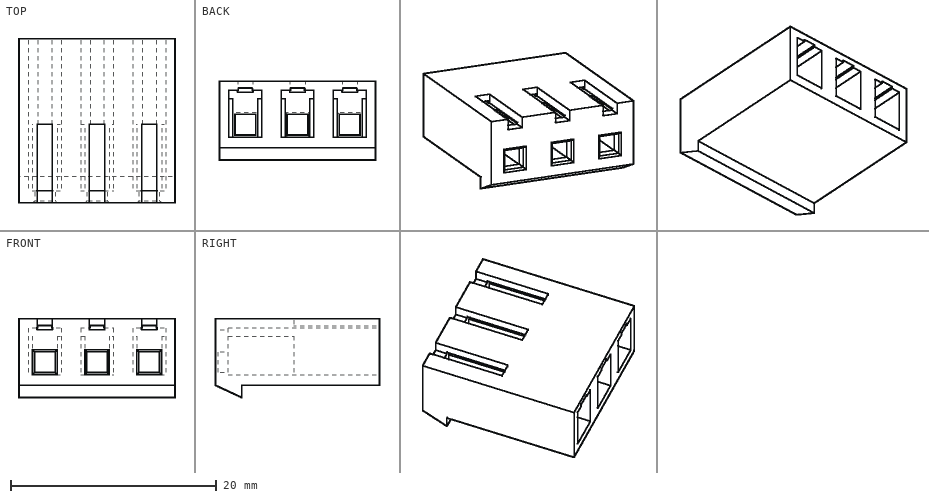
import cadquery as cq

WIDTH = 15.23
LENGTH = 16.0
HEIGHT = 7.7

CATCH_LENGTH = 2.58
CATCH_DROP = 1.2
BODY_HEIGHT = HEIGHT - CATCH_DROP

POSITION_COUNT = 3
PITCH = 5.09
FRONT_WALL = 1.2

ENTRY_SIZE = 2.0
ENTRY_FLARE = 0.2
ENTRY_DEPTH = 4.24
MOUTH_SIZE = ENTRY_SIZE + 2 * ENTRY_FLARE

SLOT_WIDTH = 1.5
SLOT_LENGTH = 7.65
SLOT_DEPTH = 1.07

CAVITY_TOP = 0.9
CAVITY_FLOOR = ENTRY_DEPTH + MOUTH_SIZE / 2
CAVITY_WIDTH = 3.2
LOWER_CAVITY_WIDTH = MOUTH_SIZE
LEDGE_DEPTH = 1.7
GROOVE_WIDTH = 1.33
GROOVE_DEPTH = 0.67


def block(center_x, width, y_range, depth_range):
    """Box centred on center_x, between two Y places and two depths below the top."""
    front, back = y_range
    upper, lower = depth_range
    corner = (center_x - width / 2, front, -lower)
    return cq.Workplane("XY").box(width, back - front, lower - upper, centered=False).translate(corner)


def housing():
    """Solid body with the catch, extruded from its side outline."""
    outline = [
        (0, 0),
        (LENGTH, 0),
        (LENGTH, -BODY_HEIGHT),
        (CATCH_LENGTH, -BODY_HEIGHT),
        (CATCH_LENGTH, -HEIGHT),
        (0, -BODY_HEIGHT),
    ]
    return cq.Workplane("YZ").polyline(outline).close().extrude(WIDTH / 2, both=True)


def pin_entry(center_x):
    """Square hole through the front wall with a 45 degree flare at the mouth."""
    entry_top = ENTRY_DEPTH - ENTRY_SIZE / 2
    hole = block(center_x, ENTRY_SIZE, (0, FRONT_WALL), (entry_top, entry_top + ENTRY_SIZE))
    flare = (
        cq.Workplane("XZ", origin=(center_x, 0, -ENTRY_DEPTH))
        .rect(MOUTH_SIZE, MOUTH_SIZE)
        .workplane(offset=-ENTRY_FLARE)
        .rect(ENTRY_SIZE, ENTRY_SIZE)
        .loft(ruled=True)
    )
    return hole.union(flare)


def contact_cavity(center_x):
    """Stepped cavity open at the back, joined to the slot above it."""
    upper = block(center_x, CAVITY_WIDTH, (FRONT_WALL, LENGTH), (CAVITY_TOP, LEDGE_DEPTH))
    rear = block(center_x, CAVITY_WIDTH, (SLOT_LENGTH, LENGTH), (CAVITY_TOP, CAVITY_FLOOR))
    lower = block(center_x, LOWER_CAVITY_WIDTH, (FRONT_WALL, LENGTH), (CAVITY_TOP, CAVITY_FLOOR))
    groove = block(center_x, GROOVE_WIDTH, (SLOT_LENGTH, LENGTH), (GROOVE_DEPTH, CAVITY_TOP))
    return upper.union(rear).union(lower).union(groove)


result = housing()
for index in range(POSITION_COUNT):
    position_x = (index - (POSITION_COUNT - 1) / 2) * PITCH
    slot = block(position_x, SLOT_WIDTH, (0, SLOT_LENGTH), (0, SLOT_DEPTH))
    result = result.cut(slot).cut(pin_entry(position_x)).cut(contact_cavity(position_x))